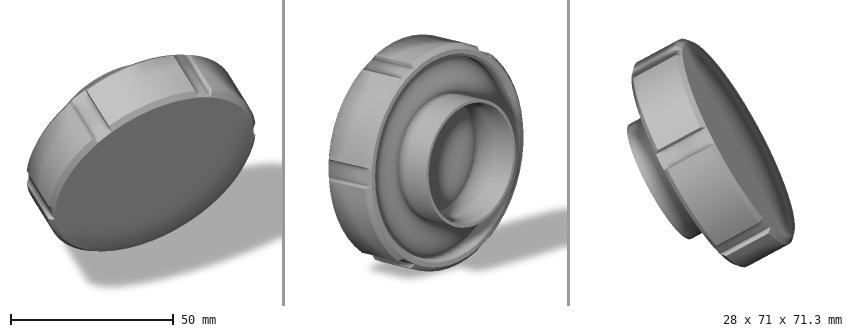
import cadquery as cq
import math

nut_front = 9.85
nut_back = 28.0
cone_start = 11.8
cone_end = 14.75
flange_back = 16.05

nut_radius = 35.65
nut_bore_radius = 31.7
rim_chamfer_length = 1.5
rim_chamfer_height = 1.6
bore_chamfer = 0.85

slot_count = 6
slot_floor_distance = 34.15
slot_floor_width = 5.4
slot_mouth_width = 6.7
slot_overshoot = 0.7

tube_radius = 20.0
tube_bore_radius = 19.0


def revolve_about_x(points):
    """Revolve a closed (x, radius) outline a full turn about the X axis."""
    return cq.Workplane("XY").polyline(points).close().revolve(360, (0, 0, 0), (1, 0, 0))


def make_slot_cutter(angle):
    """Flat-floored, flared slot running the length of the nut, facing -Y at angle 0."""
    floor_half = slot_floor_width / 2
    mouth_half = slot_mouth_width / 2
    mouth_distance = math.sqrt(nut_radius**2 - mouth_half**2)
    flare = (mouth_half - floor_half) / (mouth_distance - slot_floor_distance)
    outer_distance = nut_radius + slot_overshoot
    outer_half = floor_half + flare * (outer_distance - slot_floor_distance)
    return (
        cq.Workplane("YZ", origin=(nut_front, 0, 0))
        .polyline([
            (-slot_floor_distance, -floor_half),
            (-outer_distance, -outer_half),
            (-outer_distance, outer_half),
            (-slot_floor_distance, floor_half),
        ])
        .close()
        .extrude(nut_back - nut_front)
        .rotate((0, 0, 0), (1, 0, 0), angle)
    )


def make_nut():
    """Ring nut with chamfered rims, a plain bore and evenly spaced wrench slots."""
    rim_radius = nut_radius - rim_chamfer_height
    nut = revolve_about_x([
        (nut_front, nut_bore_radius + bore_chamfer),
        (nut_front, rim_radius),
        (nut_front + rim_chamfer_length, nut_radius),
        (nut_back - rim_chamfer_length, nut_radius),
        (nut_back, rim_radius),
        (nut_back, nut_bore_radius),
        (nut_front + bore_chamfer, nut_bore_radius),
    ])
    for index in range(slot_count):
        nut = nut.cut(make_slot_cutter(index * 360 / slot_count))
    return nut


def make_liner():
    """Open tube with a flange whose front face is a shallow cone."""
    return revolve_about_x([
        (0, tube_bore_radius),
        (0, tube_radius),
        (cone_start, tube_radius),
        (cone_end, nut_bore_radius),
        (flange_back, nut_bore_radius),
        (flange_back, tube_bore_radius),
    ])


def make_blank():
    """Plain disc closing the nut behind the liner flange."""
    return (
        cq.Workplane("YZ", origin=(flange_back, 0, 0))
        .circle(nut_bore_radius)
        .extrude(nut_back - flange_back)
    )


nut = make_nut()
liner = make_liner()
blank = make_blank()

result = cq.Compound.makeCompound([nut.val(), liner.val(), blank.val()])